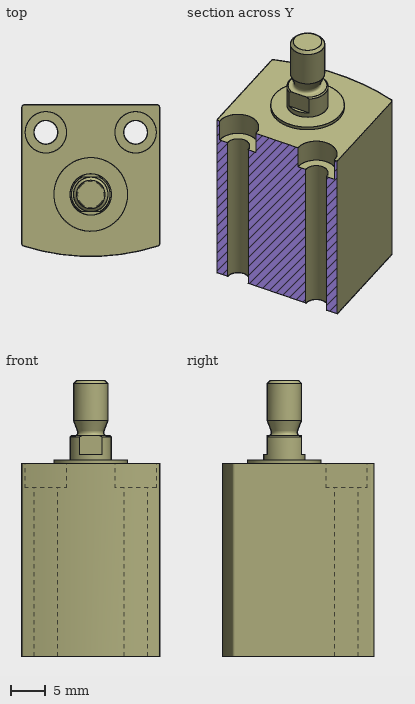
import cadquery as cq
import math

HOUSING_WIDTH = 20.0
HOUSING_DEPTH = 22.0
HOUSING_HEIGHT = 28.0
BACK_Y = 13.0
FRONT_Y = BACK_Y - HOUSING_DEPTH
FRONT_BOW = 1.6
CORNER_RADIUS = 0.4

BOSS_DIAMETER = 10.7
BOSS_TOP_Z = 28.5

HOLE_SPACING = 13.0
HOLE_Y = BACK_Y - 4.0
HOLE_DIAMETER = 3.4
COUNTERBORE_DIAMETER = 6.0
COUNTERBORE_DEPTH = 3.5

ROD_TOP_Z = 40.0
ROD_DIAMETER = 6.0
SHOULDER_Z = 32.0
SHOULDER_CHAMFER = 0.2
THREAD_DIAMETER = 5.0
THREAD_START_Z = 34.2
TIP_DIAMETER = 4.1
TIP_CHAMFER = (THREAD_DIAMETER - TIP_DIAMETER) / 2
NECK_DIAMETER = 3.8
NECK_TOP_Z = 32.6
NECK_FILLET = 0.4
FLAT_WIDTH = 5.0
FLAT_START_Z = 29.3


def make_housing():
    half_width = HOUSING_WIDTH / 2
    side_front_y = FRONT_Y + FRONT_BOW
    block = (
        cq.Workplane("XY")
        .moveTo(-half_width, BACK_Y)
        .lineTo(-half_width, side_front_y)
        .threePointArc((0, FRONT_Y), (half_width, side_front_y))
        .lineTo(half_width, BACK_Y)
        .close()
        .extrude(HOUSING_HEIGHT)
        .edges("|Z")
        .fillet(CORNER_RADIUS)
    )
    block = (
        block.faces(">Z")
        .workplane(origin=(0, 0, HOUSING_HEIGHT))
        .pushPoints([(side * HOLE_SPACING / 2, HOLE_Y) for side in (-1, 1)])
        .cboreHole(HOLE_DIAMETER, COUNTERBORE_DIAMETER, COUNTERBORE_DEPTH)
    )
    boss = (
        cq.Workplane("XY")
        .workplane(offset=HOUSING_HEIGHT)
        .circle(BOSS_DIAMETER / 2)
        .extrude(BOSS_TOP_Z - HOUSING_HEIGHT)
    )
    return block.union(boss)


def make_rod():
    """Turned rod standing on the boss, with two flats for a wrench."""
    rod_radius = ROD_DIAMETER / 2
    neck_radius = NECK_DIAMETER / 2
    thread_radius = THREAD_DIAMETER / 2
    fillet_middle = NECK_FILLET * (1 - math.sqrt(0.5))
    taper_angle = math.atan2(thread_radius - neck_radius, THREAD_START_Z - NECK_TOP_Z)
    tangent_length = NECK_FILLET * math.tan(taper_angle / 2)
    taper_start_radius = neck_radius + tangent_length * math.sin(taper_angle)
    taper_start_z = NECK_TOP_Z + tangent_length * math.cos(taper_angle)
    rod = (
        cq.Workplane("XZ")
        .moveTo(0, BOSS_TOP_Z)
        .lineTo(rod_radius, BOSS_TOP_Z)
        .lineTo(rod_radius, SHOULDER_Z - SHOULDER_CHAMFER)
        .lineTo(rod_radius - SHOULDER_CHAMFER, SHOULDER_Z)
        .lineTo(neck_radius + NECK_FILLET, SHOULDER_Z)
        .threePointArc(
            (neck_radius + fillet_middle, SHOULDER_Z + fillet_middle),
            (neck_radius, SHOULDER_Z + NECK_FILLET),
        )
        .lineTo(neck_radius, NECK_TOP_Z - tangent_length)
        .tangentArcPoint((taper_start_radius, taper_start_z), relative=False)
        .lineTo(thread_radius, THREAD_START_Z)
        .lineTo(thread_radius, ROD_TOP_Z - TIP_CHAMFER)
        .lineTo(TIP_DIAMETER / 2, ROD_TOP_Z)
        .lineTo(0, ROD_TOP_Z)
        .close()
        .revolve(360, (0, 0, 0), (0, 1, 0))
    )
    flat_height = SHOULDER_Z - FLAT_START_Z
    for side in (-1, 1):
        flat_cutter = cq.Workplane("XY").box(
            ROD_DIAMETER, ROD_DIAMETER, flat_height, centered=(True, True, False)
        )
        flat_offset = side * (FLAT_WIDTH + ROD_DIAMETER) / 2
        rod = rod.cut(flat_cutter.translate((0, flat_offset, FLAT_START_Z)))
    return rod


housing = make_housing()
rod = make_rod()
result = cq.Compound.makeCompound([housing.val(), rod.val()])